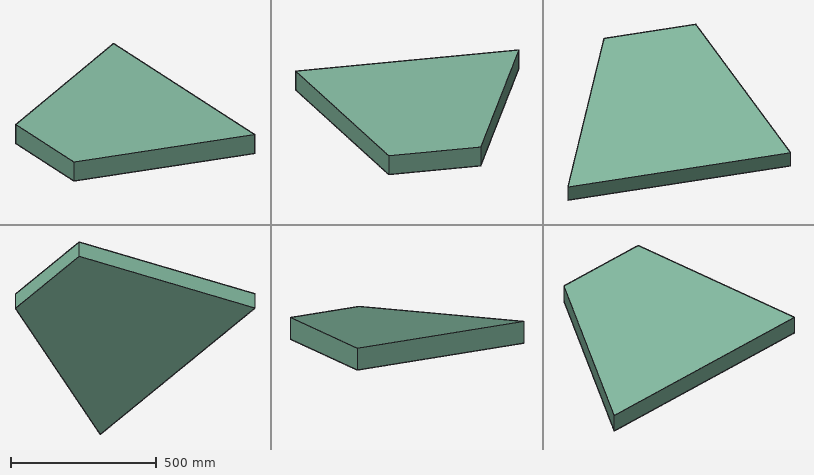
import cadquery as cq

back_width = 778.0
depth = 600.0
thickness = 76.0
front_width = 320.5
left_inset = 216.0

front_left = (left_inset, 0)
front_right = (left_inset + front_width, 0)
back_right = (back_width, depth)
back_left = (0, depth)

result = (
    cq.Workplane("XY")
    .polyline([front_left, front_right, back_right, back_left])
    .close()
    .extrude(thickness)
)